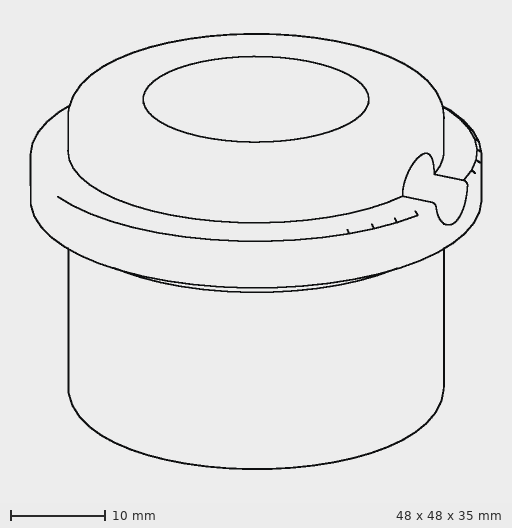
import cadquery as cq

height = 35.0
body_diameter = 39.98
flange_diameter = 48.0
bore_diameter = 24.0
end_rounding = 2.0

collar_height = 6.0
flange_thickness = 6.0
flange_rounding = 0.5

groove_diameter = 38.6
groove_height = 1.3
groove_chamfer = (body_diameter - groove_diameter) / 2

cross_hole_diameter = 7.0

flange_top = height - collar_height
flange_bottom = flange_top - flange_thickness
groove_bottom = flange_bottom - groove_height


def cylinder(diameter, bottom, top):
    """Vertical cylinder on the Z axis between two heights."""
    return cq.Workplane("XY").workplane(offset=bottom).circle(diameter / 2).extrude(top - bottom)


lower_body = cylinder(body_diameter, 0, groove_bottom)
lower_body = lower_body.faces("<Z").edges().fillet(end_rounding)
lower_body = lower_body.faces(">Z").edges().chamfer(groove_chamfer)

neck = cylinder(groove_diameter, groove_bottom, flange_bottom)

flange = cylinder(flange_diameter, flange_bottom, flange_top)
flange = flange.edges().fillet(flange_rounding)

collar = cylinder(body_diameter, flange_top, height)
collar = collar.faces(">Z").edges().fillet(end_rounding)

bore = cylinder(bore_diameter, 0, height)

cross_hole = (
    cq.Workplane("YZ")
    .center(0, flange_top)
    .circle(cross_hole_diameter / 2)
    .extrude(flange_diameter / 2)
)

result = lower_body.union(neck).union(flange).union(collar).cut(bore).cut(cross_hole)